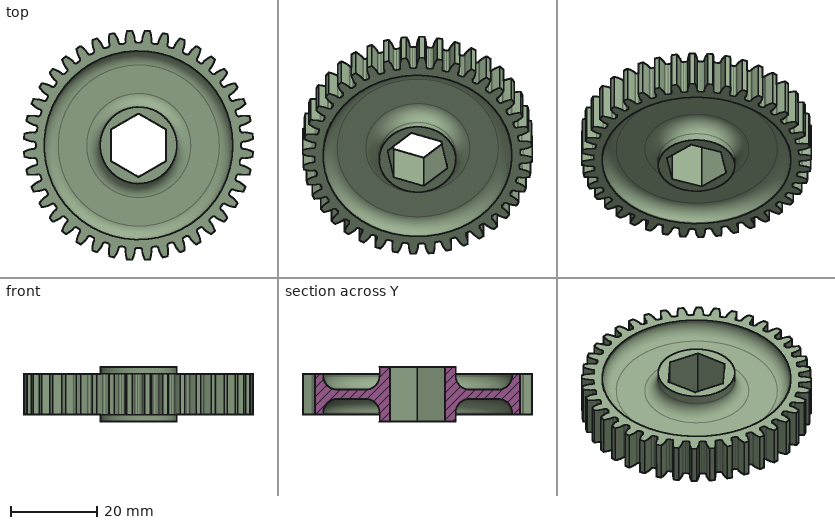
import cadquery as cq
import math

outer_span = 53.25
hub_length = 12.7
face_width = 9.5

hub_diameter = 17.8
hex_across_flats = 12.75
recess_diameter = 43.8
recess_depth = 3.6
recess_fillet = 3.2

tooth_count = 40
pitch_radius = 25.4
pressure_angle = math.radians(14.5)
root_radius = 23.85
root_fillet = 0.55

tooth_pitch = 2 * math.pi / tooth_count
base_radius = pitch_radius * math.cos(pressure_angle)
module = 2 * pitch_radius / tooth_count
addendum_radius = pitch_radius + module
flank_points = 5


def involute(angle):
    return math.tan(angle) - angle


def half_tooth_angle(radius):
    """Angle from the tooth centre line to its involute flank at a radius."""
    local_pressure_angle = math.acos(base_radius / radius)
    return tooth_pitch / 4 + involute(pressure_angle) - involute(local_pressure_angle)


tip_corner_angle = tooth_pitch / 2 - half_tooth_angle(addendum_radius)
tip_radius = outer_span / 2 / math.cos(tip_corner_angle)

base_angle = half_tooth_angle(base_radius)
fillet_center_radius = root_radius + root_fillet
fillet_center_angle = base_angle + math.asin(root_fillet / fillet_center_radius)
fillet_top_radius = math.sqrt(fillet_center_radius**2 - root_fillet**2)


def polar(radius, angle):
    return radius * math.cos(angle), radius * math.sin(angle)


def fillet_midpoint(tooth_angle, side):
    """Middle of the root fillet on one side (-1 or +1) of a tooth."""
    center_angle = tooth_angle + side * fillet_center_angle
    center_x, center_y = polar(fillet_center_radius, center_angle)
    toward_flank = tooth_angle + side * (base_angle - math.pi / 2)
    toward_root = center_angle + math.pi
    sum_x = math.cos(toward_flank) + math.cos(toward_root)
    sum_y = math.sin(toward_flank) + math.sin(toward_root)
    reach = root_fillet / math.hypot(sum_x, sum_y)
    return center_x + reach * sum_x, center_y + reach * sum_y


def flank(tooth_angle, side):
    """Involute points from the base circle to the tip on one side of a tooth."""
    points = []
    for i in range(flank_points):
        radius = base_radius + (tip_radius - base_radius) * (i / (flank_points - 1)) ** 2
        points.append(polar(radius, tooth_angle + side * half_tooth_angle(radius)))
    return points


def make_toothed_blank():
    first_tooth = tooth_pitch / 2
    outline = cq.Workplane("XY").workplane(offset=-face_width / 2)
    outline = outline.moveTo(*polar(root_radius, first_tooth - fillet_center_angle))
    for i in range(tooth_count):
        tooth_angle = first_tooth + i * tooth_pitch
        rising = flank(tooth_angle, -1)
        falling = flank(tooth_angle, 1)[::-1]
        rising_fillet_top = polar(fillet_top_radius, tooth_angle - base_angle)
        falling_fillet_top = polar(fillet_top_radius, tooth_angle + base_angle)
        root_start = polar(root_radius, tooth_angle + fillet_center_angle)
        root_middle = polar(root_radius, tooth_angle + tooth_pitch / 2)
        root_end = polar(root_radius, tooth_angle + tooth_pitch - fillet_center_angle)
        outline = (
            outline
            .threePointArc(fillet_midpoint(tooth_angle, -1), rising_fillet_top)
            .lineTo(*rising[0])
            .spline(rising[1:], includeCurrent=True)
            .threePointArc(polar(tip_radius, tooth_angle), falling[0])
            .spline(falling[1:], includeCurrent=True)
            .lineTo(*falling_fillet_top)
            .threePointArc(fillet_midpoint(tooth_angle, 1), root_start)
            .threePointArc(root_middle, root_end)
        )
    return outline.close().extrude(face_width)


def make_recess():
    """Ring-shaped recess in the top face, with a rounded floor."""
    inner_radius = hub_diameter / 2
    outer_radius = recess_diameter / 2
    top = face_width / 2
    floor = top - recess_depth
    curve_top = floor + recess_fillet
    diagonal = recess_fillet * (1 - math.sqrt(0.5))
    return (
        cq.Workplane("XZ")
        .moveTo(inner_radius, top)
        .lineTo(inner_radius, curve_top)
        .threePointArc((inner_radius + diagonal, floor + diagonal), (inner_radius + recess_fillet, floor))
        .lineTo(outer_radius - recess_fillet, floor)
        .threePointArc((outer_radius - diagonal, floor + diagonal), (outer_radius, curve_top))
        .lineTo(outer_radius, top)
        .close()
        .revolve(360, (0, 0, 0), (0, 1, 0))
    )


def make_hub():
    return cq.Workplane("XY").circle(hub_diameter / 2).extrude(hub_length / 2, both=True)


def make_hex_bore():
    """Hexagonal through bore with two corners on the Y axis."""
    across_corners = hex_across_flats / math.cos(math.pi / 6)
    return (
        cq.Workplane("XY")
        .transformed(rotate=(0, 0, 90))
        .polygon(6, across_corners)
        .extrude(hub_length, both=True)
    )


recess = make_recess()
result = (
    make_toothed_blank()
    .cut(recess)
    .cut(recess.mirror("XY"))
    .union(make_hub())
    .cut(make_hex_bore())
)